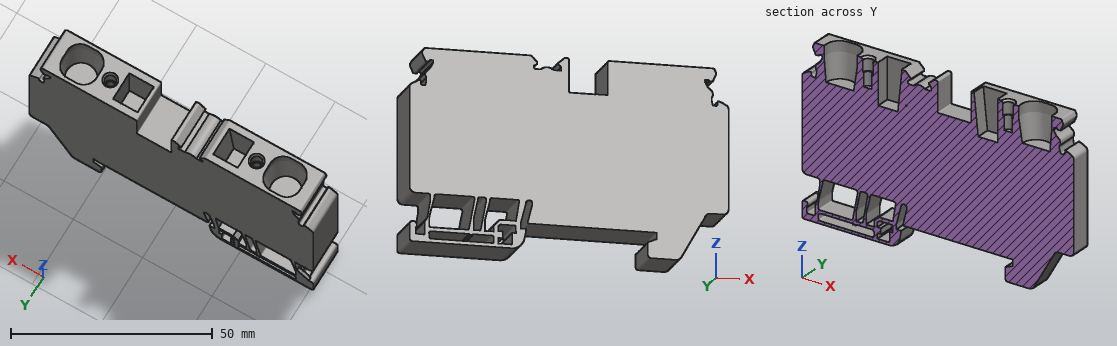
import cadquery as cq
import math

LENGTH = 82.0
WIDTH = 11.9
HEIGHT = 50.0
SIDE = LENGTH / 2

UNDERSIDE_Z = 12.55
RAIL_SEAT_Z = 6.65
SHOULDER_Z = 41.5
HOUSING_CORNER_R = 1.5

NOTCH_LEFT_X = 0.0
NOTCH_WIDTH = 9.9
NOTCH_FLOOR_Z = 41.15

LATCH_RIB_TOP_Z = 3.95
LATCH_RIB_BOTTOM_Z = 2.9
LATCH_FLOOR_Z = 0.95
LATCH_RIGHT_X = -11.0
LATCH_LIP_Z = 5.2
TROUGH_LEFT_X = -39.4
TROUGH_RIGHT_X = -37.1
TROUGH_FLOOR_Z = 1.95
ARM_KNEE_X = -36.45
ARM_KNEE_Z = 6.3
WEB_TOP_Z = 7.9
WEB_THICKNESS = 1.0

SCREW_POCKET_X = 29.3
SCREW_POCKET_SIZE = 9.9
SCREW_POCKET_CORNER_R = 3.7
SCREW_POCKET_STRAIGHT_DEPTH = 3.0
SCREW_POCKET_DEPTH = 10.0
SCREW_SEAT_DIAMETER = 8.2
SCREW_SEAT_OFFSET = 0.25
TEST_HOLE_X = 21.12
TEST_HOLE_RIM_DIAMETER = 4.0
TEST_HOLE_DIAMETER = 3.0
TEST_HOLE_CORE_DIAMETER = 2.3
TEST_HOLE_RIM_DEPTH = 0.6
TEST_HOLE_STEP_DEPTH = 4.0
TEST_HOLE_DEPTH = 8.0
WIRE_POCKET_INNER_X = 10.92
WIRE_POCKET_OUTER_X = 17.97
WIRE_POCKET_WIDTH = 7.9
WIRE_POCKET_DEPTH = 12.0
WIRE_POCKET_SLOPE = 1.25


def rounded_wire(corners):
    """Closed XZ wire through corners (x, z) or (x, z, radius); a radius rounds that corner."""
    stretches = []
    for index, corner in enumerate(corners):
        here = cq.Vector(corner[0], corner[1])
        if len(corner) == 2:
            stretches.append((here,))
            continue
        before = corners[index - 1]
        after = corners[(index + 1) % len(corners)]
        to_before = (cq.Vector(before[0], before[1]) - here).normalized()
        to_after = (cq.Vector(after[0], after[1]) - here).normalized()
        radius = corner[2]
        half_angle = to_before.getAngle(to_after) / 2
        setback = radius / math.tan(half_angle)
        to_middle = (to_before + to_after).normalized() * (radius / math.sin(half_angle) - radius)
        stretches.append((here + to_before * setback, here + to_middle, here + to_after * setback))

    wire = cq.Workplane("XZ").moveTo(*stretches[0][-1].toTuple()[:2])
    for stretch in stretches[1:] + stretches[:1]:
        wire = wire.lineTo(*stretch[0].toTuple()[:2])
        if len(stretch) == 3:
            wire = wire.threePointArc(stretch[1].toTuple()[:2], stretch[2].toTuple()[:2])
    return wire.close()


def through_prism(corners):
    """Rounded outline extruded over the full width."""
    return rounded_wire(corners).extrude(WIDTH / 2, both=True)


def end_groove_corners(side):
    """Marker groove at one end, from the housing side up to the top; side is -1 or 1."""
    profile = [
        (39.2, SHOULDER_Z - 0.15),
        (38.17, SHOULDER_Z + 0.2, 0.2),
        (38.17, 40.35, 0.6),
        (36.95, 40.35, 0.2),
        (36.65, 41.6),
        (36.65, 42.4),
        (37.4, 43.5, 1.35),
        (35.8, 44.85),
        (35.35, 45.45),
        (34.9, 46.4),
        (34.9, 46.9, 0.2),
        (35.7, 47.0),
        (36.0, 46.6),
        (36.9, 46.6, 0.3),
        (37.85, 48.7, 0.8),
        (37.2, HEIGHT, 0.6),
    ]
    return [(side * corner[0],) + corner[1:] for corner in profile]


def centre_groove_corners():
    """Marker groove in the middle of the top, left to right, with a low crest in its floor."""
    floor_z = 46.6
    lip_z = 48.4
    left_wall_x = -9.0
    left_lip_x = -8.2
    right_wall_x = -2.05
    return [
        (-9.8, HEIGHT, 0.5),
        (left_lip_x, lip_z, 0.2),
        (left_lip_x, 47.9, 0.2),
        (left_wall_x, 47.4, 0.2),
        (left_wall_x, floor_z, 0.4),
        (-7.3, floor_z),
        (-5.6, 47.8, 2.4),
        (-3.9, floor_z),
        (right_wall_x, floor_z),
        (right_wall_x, 47.5),
        (-3.0, lip_z, 0.3),
        (-1.1, HEIGHT, 0.4),
    ]


def notch_corners():
    """Deep notch between the two towers."""
    notch_right_x = NOTCH_LEFT_X + NOTCH_WIDTH
    return [
        (NOTCH_LEFT_X, HEIGHT, 0.6),
        (NOTCH_LEFT_X, NOTCH_FLOOR_Z, 0.3),
        (notch_right_x, NOTCH_FLOOR_Z, 0.3),
        (notch_right_x, HEIGHT, 0.5),
    ]


def rail_foot_corners():
    """Fixed foot on the right that hooks under the mounting rail."""
    hook_x = 20.2
    return [
        (SIDE, UNDERSIDE_Z, HOUSING_CORNER_R),
        (35.5, UNDERSIDE_Z, 1.2),
        (28.43, 0, 1.8),
        (hook_x, 0, 0.8),
        (hook_x, 4.0, 0.2),
        (22.5, 5.0),
        (22.5, RAIL_SEAT_Z, 0.2),
    ]


def latch_corners():
    """Flexing slot, snap nose, base, trough and outer arm of the latch, right to left."""
    return [
        (-10.73, RAIL_SEAT_Z, 0.3),
        (-9.2, UNDERSIDE_Z + 0.1, 0.8),
        (-10.88, UNDERSIDE_Z + 0.1, 0.8),
        (-12.46, 6.6),
        (-12.46, LATCH_LIP_Z),
        (LATCH_RIGHT_X, LATCH_LIP_Z),
        (-11.9, 0, 3.4),
        (-SIDE, 0, 0.7),
        (-SIDE, LATCH_LIP_Z, 0.8),
        (-39.1, LATCH_LIP_Z, 0.8),
        (-39.1, 3.9),
        (TROUGH_LEFT_X, 3.6),
        (TROUGH_LEFT_X, TROUGH_FLOOR_Z, 0.35),
        (TROUGH_RIGHT_X, TROUGH_FLOOR_Z, 0.35),
        (TROUGH_RIGHT_X, 5.3),
        (ARM_KNEE_X, ARM_KNEE_Z),
        (-35.7, 10.6),
        (-35.7, UNDERSIDE_Z, 0.45),
        (-SIDE, UNDERSIDE_Z, HOUSING_CORNER_R),
    ]


def housing():
    """Full-width body with the side profile of the terminal block."""
    shoulder_r = 1.25
    shoulder_edge_z = SHOULDER_Z - 1.15
    corners = [(-SIDE, shoulder_edge_z, shoulder_r)]
    corners += end_groove_corners(-1)
    corners += centre_groove_corners()
    corners += notch_corners()
    corners += end_groove_corners(1)[::-1]
    corners += [(SIDE, shoulder_edge_z, shoulder_r)]
    corners += rail_foot_corners()
    corners += latch_corners()
    return through_prism(corners)


def latch_windows():
    """Openings between the spring ribs of the latch."""
    left_window_x = -35.92
    middle_window_x = -24.53
    right_window_x = -21.57
    tool_wall_x = -19.32
    tool_roof_z = 7.1
    left_window = [
        (left_window_x, LATCH_RIB_TOP_Z, 0.3),
        (left_window_x, 6.4, 3.0),
        (-34.45, UNDERSIDE_Z, 0.6),
        (-24.15, UNDERSIDE_Z, 0.6),
        (-25.8, LATCH_RIB_TOP_Z, 0.4),
    ]
    middle_window = [
        (middle_window_x, LATCH_RIB_TOP_Z),
        (middle_window_x, 6.9, 2.0),
        (-23.3, UNDERSIDE_Z, 0.5),
        (-21.15, UNDERSIDE_Z, 0.6),
        (-22.75, LATCH_RIB_TOP_Z, 0.6),
    ]
    right_window = [
        (right_window_x, LATCH_RIB_TOP_Z),
        (right_window_x, 6.9, 2.0),
        (-20.15, UNDERSIDE_Z, 0.4),
        (-12.75, UNDERSIDE_Z, 0.4),
        (-13.65, tool_roof_z),
        (-17.85, tool_roof_z),
        (tool_wall_x, 5.65),
        (tool_wall_x, LATCH_RIB_TOP_Z),
    ]
    return [left_window, middle_window, right_window]


def latch_base_openings():
    """Long slot in the latch base and the stepped tool opening beside the nose."""
    slot_left_x = -35.98
    slot_right_x = -19.33
    nub_left_x = -25.63
    nub_right_x = -24.73
    nub_z = LATCH_RIB_BOTTOM_Z - 0.2
    base_slot = [
        (slot_left_x, LATCH_FLOOR_Z, 0.6),
        (slot_left_x, LATCH_RIB_BOTTOM_Z, 0.6),
        (nub_left_x, LATCH_RIB_BOTTOM_Z),
        (nub_left_x, nub_z),
        (nub_right_x, nub_z),
        (nub_right_x, LATCH_RIB_BOTTOM_Z),
        (slot_right_x, LATCH_RIB_BOTTOM_Z, 0.6),
        (slot_right_x, LATCH_FLOOR_Z, 0.6),
    ]
    opening_left_x = -18.18
    opening_right_x = -14.63
    step_x = -17.1
    step_bottom_z = 2.4
    step_top_z = 4.17
    opening_top_z = 5.9
    tool_opening = [
        (opening_left_x, LATCH_FLOOR_Z),
        (opening_left_x, step_bottom_z),
        (step_x, step_bottom_z),
        (step_x, step_top_z),
        (opening_left_x, step_top_z),
        (opening_left_x, opening_top_z, 0.7),
        (-13.78, opening_top_z, 0.3),
        (-13.63, LATCH_RIB_TOP_Z),
        (opening_right_x, LATCH_RIB_TOP_Z),
        (opening_right_x, LATCH_FLOOR_Z, 0.35),
    ]
    return [base_slot, tool_opening]


def trough_web():
    """Thin web that closes the latch trough at the back."""
    overlap = 0.4
    web_right_x = -36.25
    corners = [
        (TROUGH_LEFT_X - overlap, TROUGH_FLOOR_Z - overlap),
        (TROUGH_LEFT_X - overlap, LATCH_LIP_Z - 0.1),
        (web_right_x, WEB_TOP_Z),
        (web_right_x, TROUGH_FLOOR_Z - overlap),
    ]
    web = rounded_wire(corners).extrude(-WEB_THICKNESS)
    return web.translate((0, WIDTH / 2 - WEB_THICKNESS, 0))


def screw_pocket(side):
    """Rounded square pocket that tapers to a round floor."""
    x = side * SCREW_POCKET_X
    taper_z = HEIGHT - SCREW_POCKET_STRAIGHT_DEPTH
    taper_depth = SCREW_POCKET_DEPTH - SCREW_POCKET_STRAIGHT_DEPTH
    square = cq.Sketch().rect(SCREW_POCKET_SIZE, SCREW_POCKET_SIZE).vertices().fillet(SCREW_POCKET_CORNER_R)
    seat = cq.Sketch().circle(SCREW_SEAT_DIAMETER / 2)
    straight = cq.Workplane("XY", origin=(x, 0, taper_z)).placeSketch(square)
    straight = straight.extrude(SCREW_POCKET_STRAIGHT_DEPTH)
    seat_location = cq.Location(cq.Vector(side * SCREW_SEAT_OFFSET, 0, -taper_depth))
    taper = cq.Workplane("XY", origin=(x, 0, taper_z)).placeSketch(square, seat.moved(seat_location)).loft()
    return straight.union(taper)


def test_hole(side):
    """Stepped round hole with a countersunk rim, revolved about its own axis."""
    core_r = TEST_HOLE_CORE_DIAMETER / 2
    hole_r = TEST_HOLE_DIAMETER / 2
    rim_r = TEST_HOLE_RIM_DIAMETER / 2
    profile = [
        (0, -TEST_HOLE_DEPTH),
        (core_r, -TEST_HOLE_DEPTH),
        (core_r, -TEST_HOLE_STEP_DEPTH),
        (hole_r, -TEST_HOLE_STEP_DEPTH),
        (hole_r, -TEST_HOLE_RIM_DEPTH),
        (rim_r, 0),
        (0, 0),
    ]
    origin = (side * TEST_HOLE_X, 0, HEIGHT)
    half_profile = cq.Workplane("XZ", origin=origin).polyline(profile).close()
    return half_profile.revolve(360, (0, 0), (0, 1))


def wire_pocket(side):
    """Rectangular pocket whose inner wall slopes outward towards the floor."""
    inner_x = side * WIRE_POCKET_INNER_X
    outer_x = side * WIRE_POCKET_OUTER_X
    floor_z = HEIGHT - WIRE_POCKET_DEPTH
    corners = [
        (inner_x, HEIGHT),
        (outer_x, HEIGHT),
        (outer_x, floor_z),
        (inner_x + side * WIRE_POCKET_SLOPE, floor_z),
    ]
    return rounded_wire(corners).extrude(WIRE_POCKET_WIDTH / 2, both=True)


result = housing()
for opening in latch_windows() + latch_base_openings():
    result = result.cut(through_prism(opening))
result = result.union(trough_web())
for end in (-1, 1):
    result = result.cut(screw_pocket(end))
    result = result.cut(test_hole(end))
    result = result.cut(wire_pocket(end))